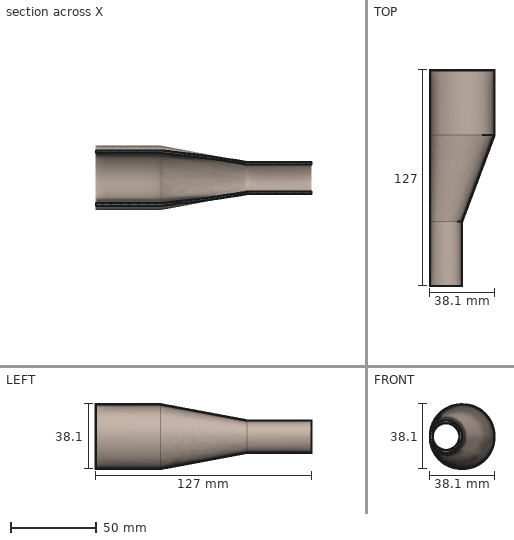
import cadquery as cq

large_diameter = 38.1
small_diameter = large_diameter / 2
wall = 1.65
large_length = 38.1
taper_length = 50.8
small_length = 38.1

large_axis_x = 0.0
small_axis_x = large_axis_x - (large_diameter - small_diameter) / 2

small_end_y = 0.0
taper_start_y = small_end_y + small_length
taper_end_y = taper_start_y + taper_length


def tube_section(x, y, diameter):
    """Workplane facing +Y at (x, y), holding a circular cross-section."""
    plane = cq.Plane(origin=(x, y, 0), xDir=(1, 0, 0), normal=(0, 1, 0))
    return cq.Workplane(plane).circle(diameter / 2)


def reducer_body(inset):
    """Solid reducer shape whose tube surfaces are moved inwards by inset."""
    small = small_diameter - 2 * inset
    large = large_diameter - 2 * inset
    small_tube = tube_section(small_axis_x, small_end_y, small).extrude(small_length)
    large_tube = tube_section(large_axis_x, taper_end_y, large).extrude(large_length)

    taper_start = tube_section(small_axis_x, taper_start_y, small).val()
    taper_end = tube_section(large_axis_x, taper_end_y, large).val()
    taper = cq.Solid.makeLoft([taper_start, taper_end], True)

    return small_tube.union(cq.Workplane(taper)).union(large_tube)


outer_body = reducer_body(0)
bore = reducer_body(wall)
result = outer_body.cut(bore).solids()